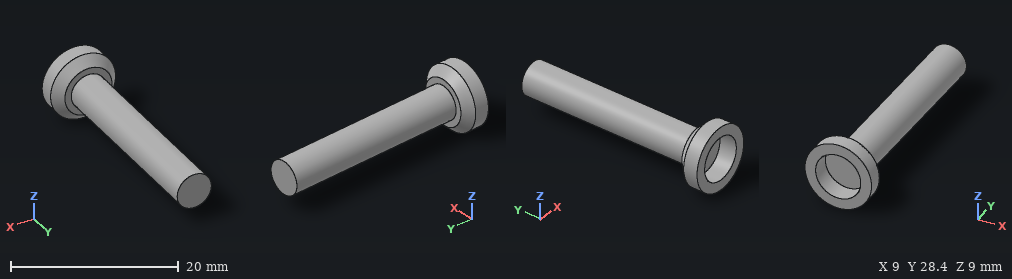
import cadquery as cq

total_length = 28.4
head_diameter = 9.0
head_length = 3.3
head_chamfer = 1.25
shank_diameter = 4.75
recess_diameter = 6.08
recess_depth = 2.5

front_y = -total_length / 2
head_back_y = front_y + head_length


def cylinder_along_y(diameter, start_y, length):
    """Cylinder on the Y axis, growing toward +Y from start_y."""
    base_plane = cq.Plane(origin=(0, start_y, 0), xDir=(1, 0, 0), normal=(0, 1, 0))
    return cq.Workplane(base_plane).circle(diameter / 2).extrude(length)


head = cylinder_along_y(head_diameter, front_y, head_length)
head = head.faces(">Y").edges().chamfer(head_chamfer)

shank = cylinder_along_y(shank_diameter, head_back_y, total_length - head_length)

recess = cylinder_along_y(recess_diameter, front_y, recess_depth)

result = head.union(shank).cut(recess)